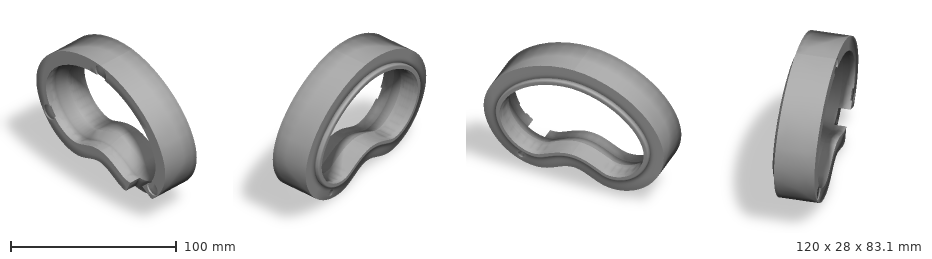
import cadquery as cq
ring_depth = 25.0
wall = 9.0
step = 3.0
lip_height = 3.0
lip_round = 1.0
total_depth = ring_depth + lip_height

half_outline = [
    (0.0, 47.2),
    (55.05, 17.15),
    (60.0, 0.5),
    (43.55, -30.15),
    (18.8, -34.85),
    (0.0, -28.0),
]
offset_spans = 40

recess_depth = 7.5
taper_end = 15.0

seat_diameter = 10.0
seat_depth = 1.0
side_seat_x = 47.9
side_seat_z = -18.2
crown_seat_z = 41.7

notch_left_inner = (27.5, -26.6)
notch_left_outer = (24.0, -34.8)
notch_right_inner = (39.0, -22.8)
notch_right_outer = (45.9, -26.4)
notch_overrun = 0.8
notch_corner_radius = 2.0
hole_diameter = 4.2
hole_center = (35.0, -29.8)


def half_spline(points):
    """Smooth edge through the points, level at the crown and at the dent."""
    vectors = [cq.Vector(x, 0, z) for x, z in points]
    return cq.Edge.makeSpline(vectors, tangents=[cq.Vector(1, 0, 0), cq.Vector(-1, 0, 0)], scale=False)


def inset_points(inset):
    """Points of the half outline, moved inward square to it."""
    edge = half_spline(half_outline)
    points = []
    for i in range(offset_spans + 1):
        position = edge.positionAt(i / offset_spans)
        tangent = edge.tangentAt(i / offset_spans)
        points.append((position.x + inset * tangent.z, position.z - inset * tangent.x))
    return points


def bean_wire(inset, y):
    """Closed bean outline at depth y, set in from the outer outline."""
    right = half_spline(inset_points(inset) if inset else half_outline)
    left = right.mirror("YZ")
    return cq.Wire.assembleEdges([right, left]).translate(cq.Vector(0, y, 0))


def bean_prism(inset, start, end):
    """Straight bean-shaped solid between two depths."""
    depth = cq.Vector(0, end - start, 0)
    return cq.Workplane(cq.Solid.extrudeLinear(bean_wire(inset, start), [], depth))


def make_body():
    """Solid bean with a smaller, rounded lip on its back."""
    lip = bean_prism(wall, 0, total_depth).faces(">Y").edges().fillet(lip_round)
    return bean_prism(0, 0, ring_depth).union(lip)


def make_bore():
    """Wide recess at the front, a taper, then the narrow bore."""
    sections = [bean_wire(wall, recess_depth), bean_wire(wall + step, taper_end)]
    taper = cq.Workplane(cq.Solid.makeLoft(sections, True))
    recess = bean_prism(wall, 0, recess_depth)
    narrow_bore = bean_prism(wall + step, taper_end, total_depth)
    return recess.union(taper).union(narrow_bore)


def make_seats():
    """Shallow discs at the crown and on both sides."""
    centers = [(0, crown_seat_z), (side_seat_x, side_seat_z), (-side_seat_x, side_seat_z)]
    return cq.Workplane("XZ").pushPoints(centers).circle(seat_diameter / 2).extrude(-seat_depth)


def beyond(start, end):
    """Point past end, on the line from start."""
    return tuple(e + notch_overrun * (e - s) for s, e in zip(start, end))


def make_notch():
    """Cutter across the wall, as deep as the front recess."""
    corners = [
        beyond(notch_left_outer, notch_left_inner),
        beyond(notch_left_inner, notch_left_outer),
        beyond(notch_right_inner, notch_right_outer),
        beyond(notch_right_outer, notch_right_inner),
    ]
    return cq.Workplane("XZ").polyline(corners).close().extrude(-recess_depth)


def make_notch_hole():
    """Through hole in the notch floor."""
    return cq.Workplane("XZ").center(*hole_center).circle(hole_diameter / 2).extrude(-total_depth)


def round_notch_corners(part):
    """Round the outer corners where the notch sides meet the outside of the ring."""
    for x, z in (notch_left_outer, notch_right_outer):
        corner = cq.selectors.NearestToPointSelector((x, recess_depth / 2, z))
        part = part.edges(corner).fillet(notch_corner_radius)
    return part


ring = make_body().cut(make_bore()).cut(make_notch())
ring = round_notch_corners(ring)
result = ring.cut(make_seats()).cut(make_notch_hole())